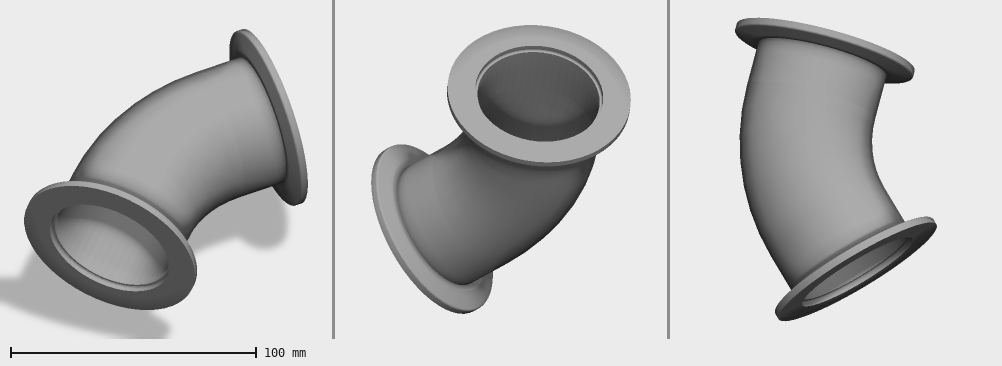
import cadquery as cq
import math

TUBE_OUTER_DIAMETER = 54.0
TUBE_BORE = 50.0

BEND_ANGLE = 45.0
BEND_RADIUS = 65.9
FACE_TO_CORNER = 51.0
LEG_LENGTH = FACE_TO_CORNER - BEND_RADIUS * math.tan(math.radians(BEND_ANGLE / 2))

FLANGE_DIAMETER = 75.0
HUB_DIAMETER = 59.3
HUB_THICKNESS = 5.1
TAPER_ANGLE = 15.0
RIM_FILLET = 0.9
TAPER_HEIGHT = (FLANGE_DIAMETER - HUB_DIAMETER) / 2 * math.tan(math.radians(TAPER_ANGLE))
RIM_THICKNESS = HUB_THICKNESS - TAPER_HEIGHT

RECESS_DIAMETER = 52.4
RECESS_DEPTH = 2.5
FLOOR_CHAMFER = 0.3
LIP_THICKNESS = 0.5
SEAT_DEPTH = RECESS_DEPTH + LIP_THICKNESS


def make_flange():
    """Clamp flange ring revolved about Y, with its face at Y = 0 and a socket for the tube."""
    ring = (
        cq.Workplane("XY")
        .moveTo(RECESS_DIAMETER / 2, 0)
        .lineTo(FLANGE_DIAMETER / 2, 0)
        .lineTo(FLANGE_DIAMETER / 2, RIM_THICKNESS)
        .lineTo(HUB_DIAMETER / 2, HUB_THICKNESS)
        .lineTo(TUBE_OUTER_DIAMETER / 2, HUB_THICKNESS)
        .lineTo(TUBE_OUTER_DIAMETER / 2, SEAT_DEPTH)
        .lineTo(TUBE_BORE / 2, SEAT_DEPTH)
        .lineTo(TUBE_BORE / 2, RECESS_DEPTH)
        .lineTo(RECESS_DIAMETER / 2 - FLOOR_CHAMFER, RECESS_DEPTH)
        .lineTo(RECESS_DIAMETER / 2, RECESS_DEPTH - FLOOR_CHAMFER)
        .close()
        .revolve(360, (0, 0, 0), (0, 1, 0))
    )
    rim_edge = cq.selectors.RadiusNthSelector(-1)
    return ring.edges(rim_edge).edges(">Y").fillet(RIM_FILLET)


def make_tube():
    """One tube following leg, bend and leg, seated in both flanges."""
    angle = math.radians(BEND_ANGLE)

    def bend_point(turn):
        x = BEND_RADIUS * (1 - math.cos(turn))
        y = LEG_LENGTH + BEND_RADIUS * math.sin(turn)
        return x, y

    end_reach = FACE_TO_CORNER - SEAT_DEPTH
    end_point = (end_reach * math.sin(angle), FACE_TO_CORNER + end_reach * math.cos(angle))
    path = (
        cq.Workplane("XY")
        .moveTo(0, SEAT_DEPTH)
        .lineTo(0, LEG_LENGTH)
        .threePointArc(bend_point(angle / 2), bend_point(angle))
        .lineTo(*end_point)
    )
    return (
        cq.Workplane("XZ", origin=(0, SEAT_DEPTH, 0))
        .circle(TUBE_OUTER_DIAMETER / 2)
        .circle(TUBE_BORE / 2)
        .sweep(path)
    )


corner = (0, FACE_TO_CORNER, 0)
corner_axis_end = (0, FACE_TO_CORNER, 1)
flanges = [
    make_flange().rotate(corner, corner_axis_end, turn)
    for turn in (0, 180 - BEND_ANGLE)
]
tube = make_tube()

result = cq.Compound.makeCompound([tube.val(), *[flange.val() for flange in flanges]])